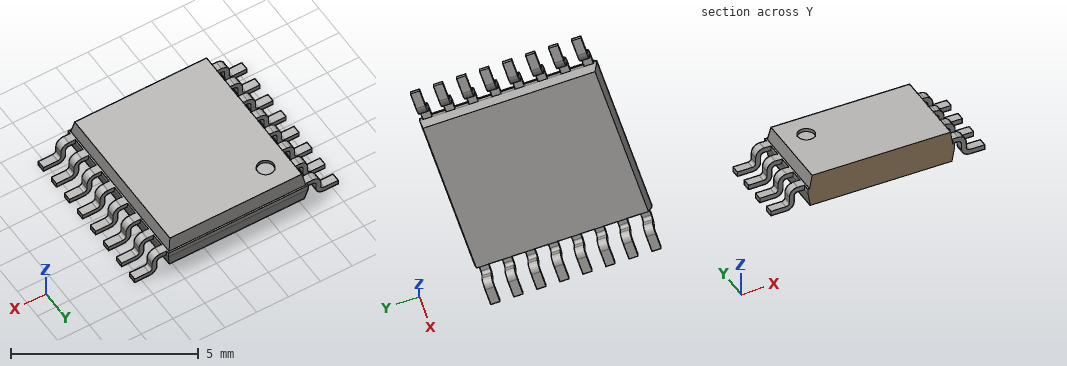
import cadquery as cq
import math

OVERALL_SPAN = 6.4
BODY_WIDTH = 4.4
BODY_LENGTH = 5.0
OVERALL_HEIGHT = 1.1

STANDOFF = 0.1
LEAD_THICKNESS = 0.15
PARTING_HEIGHT = 0.6
RIM_BOTTOM = PARTING_HEIGHT - LEAD_THICKNESS / 2
RIM_TOP = RIM_BOTTOM + LEAD_THICKNESS
UPPER_SETBACK = 0.05
DRAFT_ANGLE = 10.0

LEADS_PER_SIDE = 8
LEAD_PITCH = 0.65
LEAD_WIDTH = 0.26
INNER_BEND_RADIUS = 0.1
OUTER_BEND_RADIUS = INNER_BEND_RADIUS + LEAD_THICKNESS
FOOT_FLAT_LENGTH = 0.45

MARKER_DIAMETER = 0.5
MARKER_DEPTH = 0.1
MARKER_X = -1.38
MARKER_Y = 1.67


def tapered_half(setback, start_z, end_z):
    """Body half that narrows by the draft angle from start_z to end_z."""
    height = end_z - start_z
    inset = setback + abs(height) * math.tan(math.radians(DRAFT_ANGLE))
    return (
        cq.Workplane("XY")
        .workplane(offset=start_z)
        .rect(BODY_WIDTH - 2 * setback, BODY_LENGTH - 2 * setback)
        .workplane(offset=height)
        .rect(BODY_WIDTH - 2 * inset, BODY_LENGTH - 2 * inset)
        .loft(ruled=True)
    )


def make_body():
    """Two drafted halves joined by the straight rim at the parting line."""
    rim = (
        cq.Workplane("XY")
        .workplane(offset=RIM_BOTTOM)
        .rect(BODY_WIDTH, BODY_LENGTH)
        .extrude(LEAD_THICKNESS)
    )
    lower = tapered_half(0, RIM_BOTTOM, STANDOFF)
    upper = tapered_half(UPPER_SETBACK, RIM_TOP, OVERALL_HEIGHT)
    return rim.union(lower).union(upper)


def make_lead(y_center):
    """Lead on the -X side: flat foot, riser and shoulder with two round bends."""
    tip_x = -OVERALL_SPAN / 2
    bend_start_x = tip_x + FOOT_FLAT_LENGTH
    riser_outer_x = bend_start_x + INNER_BEND_RADIUS
    riser_inner_x = riser_outer_x + LEAD_THICKNESS
    shoulder_start_x = riser_inner_x + INNER_BEND_RADIUS
    root_x = -BODY_WIDTH / 2 + UPPER_SETBACK
    lower_bend_z = OUTER_BEND_RADIUS
    upper_bend_z = RIM_TOP - OUTER_BEND_RADIUS
    return (
        cq.Workplane("XZ", origin=(0, y_center, 0))
        .moveTo(tip_x, 0)
        .lineTo(bend_start_x, 0)
        .radiusArc((riser_inner_x, lower_bend_z), -OUTER_BEND_RADIUS)
        .lineTo(riser_inner_x, upper_bend_z)
        .radiusArc((shoulder_start_x, RIM_BOTTOM), INNER_BEND_RADIUS)
        .lineTo(root_x, RIM_BOTTOM)
        .lineTo(root_x, RIM_TOP)
        .lineTo(shoulder_start_x, RIM_TOP)
        .radiusArc((riser_outer_x, upper_bend_z), -OUTER_BEND_RADIUS)
        .lineTo(riser_outer_x, lower_bend_z)
        .radiusArc((bend_start_x, LEAD_THICKNESS), INNER_BEND_RADIUS)
        .lineTo(tip_x, LEAD_THICKNESS)
        .close()
        .extrude(LEAD_WIDTH / 2, both=True)
    )


def add_leads(body):
    """Join a row of leads to each long side of the body."""
    first_y = -(LEADS_PER_SIDE - 1) * LEAD_PITCH / 2
    for index in range(LEADS_PER_SIDE):
        lead = make_lead(first_y + index * LEAD_PITCH)
        body = body.union(lead).union(lead.mirror("YZ"))
    return body


def cut_pin_one_marker(body):
    """Sink the round pin 1 marker into the top face."""
    recess = (
        cq.Workplane("XY", origin=(MARKER_X, MARKER_Y, OVERALL_HEIGHT))
        .circle(MARKER_DIAMETER / 2)
        .extrude(-MARKER_DEPTH)
    )
    return body.cut(recess)


result = cut_pin_one_marker(add_leads(make_body()))